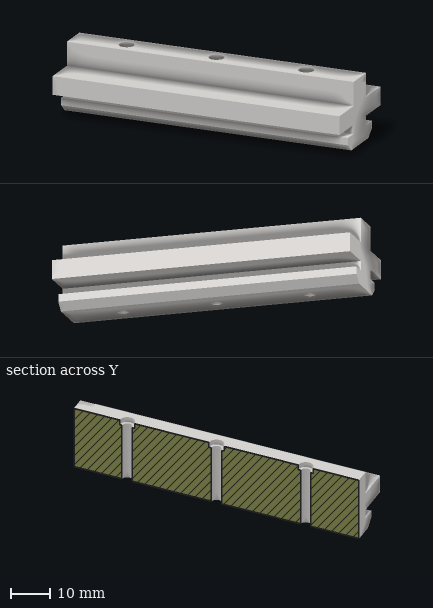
import cadquery as cq

length = 80.0
flange_width = 26.0

stem_width = 8.0
foot_width = 15.2
foot_chamfer_width = 2.2

foot_chamfer_height = 2.0
foot_height = 4.0
neck_height = 2.5
flange_thickness = 5.0
rib_height = 6.5

hole_count = 3
hole_pitch = 25.0
hole_diameter = 2.8
counterbore_diameter = 4.2
counterbore_depth = 1.4

flange_bottom = foot_height + neck_height
flange_top = flange_bottom + flange_thickness
total_height = flange_top + rib_height


def make_profile_bar():
    """Extrude the symmetric cross-section along X, centred on the origin."""
    half_stem = stem_width / 2
    half_foot = foot_width / 2
    half_flange = flange_width / 2
    right_side = [
        (half_foot - foot_chamfer_width, 0),
        (half_foot, foot_chamfer_height),
        (half_foot, foot_height),
        (half_stem, foot_height),
        (half_stem, flange_bottom),
        (half_flange, flange_bottom),
        (half_flange, flange_top),
        (half_stem, flange_top),
        (half_stem, total_height),
    ]
    left_side = [(-y, z) for y, z in reversed(right_side)]
    outline = cq.Workplane("YZ").polyline(right_side + left_side).close()
    return outline.extrude(length / 2, both=True)


def drill_holes(bar):
    """Drill the row of counterbored through holes from the rib's top face."""
    return (
        bar.faces(">Z")
        .workplane(origin=(0, 0, total_height))
        .rarray(hole_pitch, 0.8, hole_count, 1)
        .cboreHole(hole_diameter, counterbore_diameter, counterbore_depth)
    )


result = drill_holes(make_profile_bar())